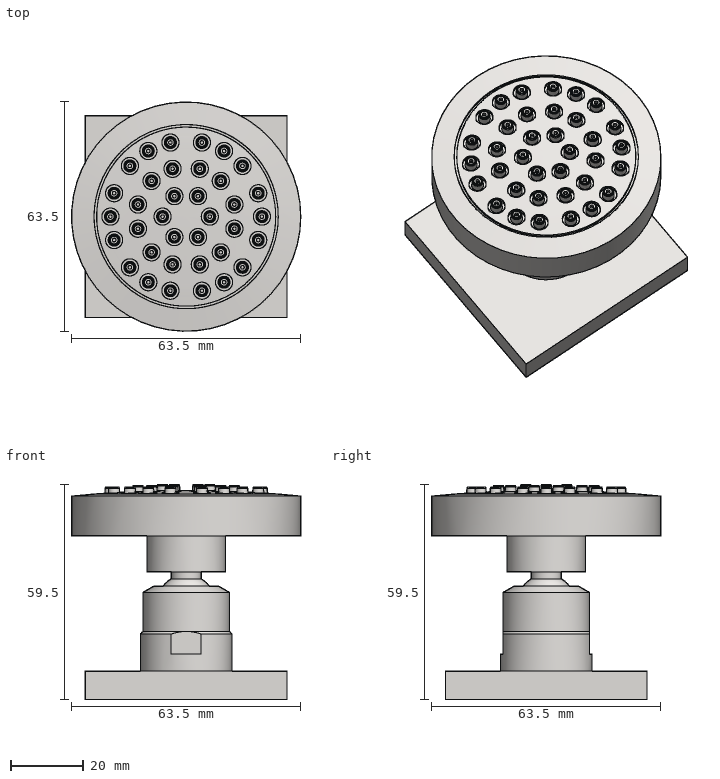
import cadquery as cq
import math

PLATE_SIDE = 55.88
PLATE_HEIGHT = 7.87

COLLAR_RADIUS = 12.7
COLLAR_TOP_Z = 18.85
FLAT_BOTTOM_Z = 12.6

SOCKET_RADIUS = 12.0
SOCKET_TOP_RADIUS = 8.96
SOCKET_TOP_Z = 31.42
SOCKET_CONE_ANGLE = 30.0

BALL_RADIUS = 8.1
BALL_CENTER_Z = 26.5
NECK_RADIUS = 4.2

STEM_RADIUS = 10.92
STEM_BOTTOM_Z = 35.36
HEAD_RADIUS = 31.75
HEAD_BOTTOM_Z = 45.3
HEAD_EDGE_Z = 56.34
DOME_RISE = 1.6

GROOVE_OUTER_RADIUS = 25.5
GROOVE_INNER_RADIUS = 24.8
GROOVE_DEPTH = 0.7

POCKET_RADIUS = 2.37
POCKET_DEPTH = 1.0
TOTAL_HEIGHT = 59.48
NOZZLE_ROOT_RADIUS = 1.65
NOZZLE_SHOULDER_RADIUS = 1.48
NOZZLE_TIP_RADIUS = 1.33
NOZZLE_TIP_HEIGHT = 0.38
NOZZLE_RECESS_RADIUS = 1.06
NOZZLE_RECESS_DEPTH = 0.2
NOZZLE_HOLE_RADIUS = 0.5
NOZZLE_HOLE_DEPTH = 1.0
SECTOR_ANGLE = 60
SECTOR_COUNT = 360 // SECTOR_ANGLE
NOZZLE_RINGS = [
    (6.54, [0.0]),
    (13.76, [-14.1, 14.1]),
    (20.97, [-18.0, 0.0, 18.0]),
]

DOME_RADIUS = (HEAD_RADIUS**2 + DOME_RISE**2) / (2 * DOME_RISE)
DOME_CENTER_Z = HEAD_EDGE_Z + DOME_RISE - DOME_RADIUS
INNER_RING_RADIUS = NOZZLE_RINGS[0][0]


def dome_z(radius):
    """Height of the domed face at a distance from the axis."""
    return DOME_CENTER_Z + math.sqrt(DOME_RADIUS**2 - radius**2)


NOZZLE_HEIGHT = TOTAL_HEIGHT - dome_z(INNER_RING_RADIUS)


def cylinder(radius, bottom_z, top_z):
    """Upright cylinder on the part axis."""
    return cq.Workplane("XY").workplane(offset=bottom_z).circle(radius).extrude(top_z - bottom_z)


def make_base():
    """Plate, collar with flats, and socket body with its conical top."""
    plate = cq.Workplane("XY").rect(PLATE_SIDE, PLATE_SIDE).extrude(PLATE_HEIGHT)

    collar = cylinder(COLLAR_RADIUS, PLATE_HEIGHT, COLLAR_TOP_Z)
    collar = collar.faces(">Z").chamfer(COLLAR_RADIUS - SOCKET_RADIUS)
    flat_height = COLLAR_TOP_Z - FLAT_BOTTOM_Z
    flat_stock = 2 * COLLAR_RADIUS
    for side in (-1, 1):
        cutter = cq.Workplane("XY").box(flat_stock, flat_stock, flat_height, centered=(True, True, False))
        cutter_y = side * (SOCKET_RADIUS + flat_stock / 2)
        collar = collar.cut(cutter.translate((0, cutter_y, FLAT_BOTTOM_Z)))

    cone_height = (SOCKET_RADIUS - SOCKET_TOP_RADIUS) * math.tan(math.radians(SOCKET_CONE_ANGLE))
    socket = (
        cq.Workplane("XZ")
        .moveTo(0, PLATE_HEIGHT)
        .lineTo(SOCKET_RADIUS, PLATE_HEIGHT)
        .lineTo(SOCKET_RADIUS, SOCKET_TOP_Z - cone_height)
        .lineTo(SOCKET_TOP_RADIUS, SOCKET_TOP_Z)
        .lineTo(0, SOCKET_TOP_Z)
        .close()
        .revolve(360, (0, 0, 0), (0, 1, 0))
    )
    return plate.union(collar).union(socket)


def make_joint():
    """Ball held by the socket, with the neck that carries the stem."""
    ball = cq.Workplane("XY").sphere(BALL_RADIUS).translate((0, 0, BALL_CENTER_Z))
    neck_bottom_z = BALL_CENTER_Z + math.sqrt(BALL_RADIUS**2 - NECK_RADIUS**2)
    ball_zone = cylinder(BALL_RADIUS, BALL_CENTER_Z, neck_bottom_z)
    neck = cylinder(NECK_RADIUS, BALL_CENTER_Z, STEM_BOTTOM_Z)
    return ball.intersect(ball_zone).union(neck)


def make_head():
    """Stem and round head with a domed, grooved spray face."""
    groove_bottom_z = dome_z(GROOVE_OUTER_RADIUS) - GROOVE_DEPTH
    middle_radius = HEAD_RADIUS / 2
    head = (
        cq.Workplane("XZ")
        .moveTo(0, STEM_BOTTOM_Z)
        .lineTo(STEM_RADIUS, STEM_BOTTOM_Z)
        .lineTo(STEM_RADIUS, HEAD_BOTTOM_Z)
        .lineTo(HEAD_RADIUS, HEAD_BOTTOM_Z)
        .lineTo(HEAD_RADIUS, HEAD_EDGE_Z)
        .threePointArc((middle_radius, dome_z(middle_radius)), (0, dome_z(0)))
        .close()
        .revolve(360, (0, 0, 0), (0, 1, 0))
    )
    groove = cylinder(GROOVE_OUTER_RADIUS, groove_bottom_z, TOTAL_HEIGHT)
    groove = groove.cut(cylinder(GROOVE_INNER_RADIUS, groove_bottom_z, TOTAL_HEIGHT))
    return head.cut(groove)


def make_nozzle():
    """Nozzle standing on the floor of its pocket; z = 0 is the level of the domed face."""
    shoulder_z = NOZZLE_HEIGHT - NOZZLE_TIP_HEIGHT
    recess_z = NOZZLE_HEIGHT - NOZZLE_RECESS_DEPTH
    hole_z = recess_z - NOZZLE_HOLE_DEPTH
    return (
        cq.Workplane("XZ")
        .moveTo(0, -POCKET_DEPTH)
        .lineTo(NOZZLE_ROOT_RADIUS, -POCKET_DEPTH)
        .lineTo(NOZZLE_SHOULDER_RADIUS, shoulder_z)
        .lineTo(NOZZLE_TIP_RADIUS, NOZZLE_HEIGHT)
        .lineTo(NOZZLE_RECESS_RADIUS, NOZZLE_HEIGHT)
        .lineTo(NOZZLE_RECESS_RADIUS, recess_z)
        .lineTo(NOZZLE_HOLE_RADIUS, recess_z)
        .lineTo(NOZZLE_HOLE_RADIUS, hole_z)
        .lineTo(0, hole_z)
        .close()
        .revolve(360, (0, 0, 0), (0, 1, 0))
    )


def ring_copies(shape):
    """Copies of a shape at every nozzle place, six sectors around the axis, lifted to the dome."""
    copies = []
    for ring_radius, sector_angles in NOZZLE_RINGS:
        placed = shape.translate((ring_radius, 0, dome_z(ring_radius)))
        for sector in range(SECTOR_COUNT):
            for angle in sector_angles:
                turn = sector * SECTOR_ANGLE + angle
                copies.append(placed.rotate((0, 0, 0), (0, 0, 1), turn).val())
    return cq.Workplane(cq.Compound.makeCompound(copies))


def make_spray_head():
    """Head with a round pocket and a nozzle at every nozzle place."""
    pocket = cylinder(POCKET_RADIUS, -POCKET_DEPTH, NOZZLE_HEIGHT)
    return make_head().cut(ring_copies(pocket)).union(ring_copies(make_nozzle()))


result = make_base().union(make_joint()).union(make_spray_head())